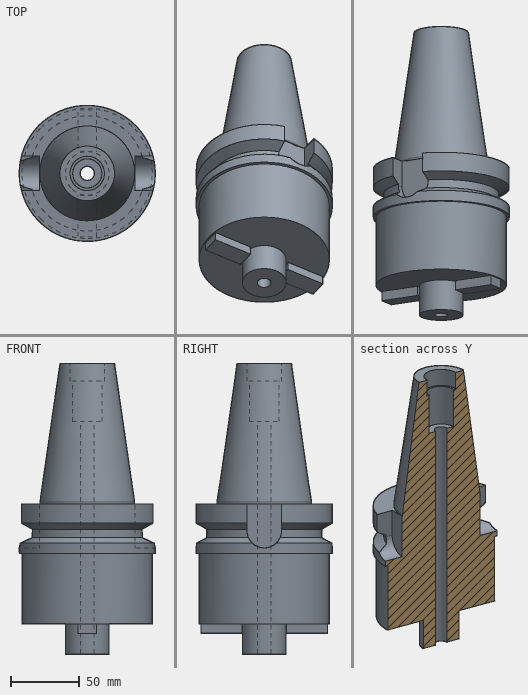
import cadquery as cq

total_height = 213.8
gauge_height = 112.0
flange_top = 110.5
upper_rim_bottom = 96.5
groove_top = 92.0
groove_bottom = 85.7
lower_rim_top = 81.7
flange_bottom = 74.0
body_bottom = 22.5
key_bottom = 15.5

flange_radius = 100.0 / 2
groove_radius = 42.3
body_radius = 47.9
spigot_radius = 16.0
taper_large_radius = 34.8
taper_small_radius = 20.0

bore_radius = 12.6
bore_depth = 12.8
thread_radius = 10.7
thread_depth = 42.8
through_radius = 5.1

slot_width = 25.5
slot_bottom = 78.3
slot_face = 35.0

key_width = 13.7
key_inner = 16.2
key_outer = 46.6
key_embed = 2.1


def turned_body():
    """Spigot, body, grooved flange and taper, revolved about Z."""
    profile = [
        (0, 0),
        (spigot_radius, 0),
        (spigot_radius, body_bottom),
        (body_radius, body_bottom),
        (body_radius, flange_bottom),
        (flange_radius, flange_bottom),
        (flange_radius, lower_rim_top),
        (groove_radius, groove_bottom),
        (groove_radius, groove_top),
        (flange_radius, upper_rim_bottom),
        (flange_radius, flange_top),
        (taper_large_radius, flange_top),
        (taper_large_radius, gauge_height),
        (taper_small_radius, total_height),
        (0, total_height),
    ]
    return cq.Workplane("XZ").polyline(profile).close().revolve(360, (0, 0), (0, 1))


def axial_hole(radius, depth):
    """Cylinder reaching down from the small end of the taper."""
    return cq.Workplane("XY").workplane(offset=total_height - depth).circle(radius).extrude(depth)


def drive_slot(side):
    """Cutter for a slot open at the flange top, on the +X or -X side."""
    half_width = slot_width / 2
    arc_center = slot_bottom + half_width
    cutter = (
        cq.Workplane("YZ")
        .workplane(offset=side * slot_face)
        .moveTo(-half_width, gauge_height)
        .lineTo(-half_width, arc_center)
        .threePointArc((0, slot_bottom), (half_width, arc_center))
        .lineTo(half_width, gauge_height)
        .close()
    )
    return cutter.extrude(side * flange_radius)


def drive_key(side):
    """Key on the +Y or -Y side, rooted in the body so that it fuses cleanly."""
    height = body_bottom - key_bottom + key_embed
    return (
        cq.Workplane("XY")
        .box(key_width, key_outer - key_inner, height, centered=(True, True, False))
        .translate((0, side * (key_inner + key_outer) / 2, key_bottom))
    )


result = turned_body()
for side in (-1, 1):
    result = result.cut(drive_slot(side)).union(drive_key(side))

for radius, depth in (
    (bore_radius, bore_depth),
    (thread_radius, thread_depth),
    (through_radius, total_height),
):
    result = result.cut(axial_hole(radius, depth))